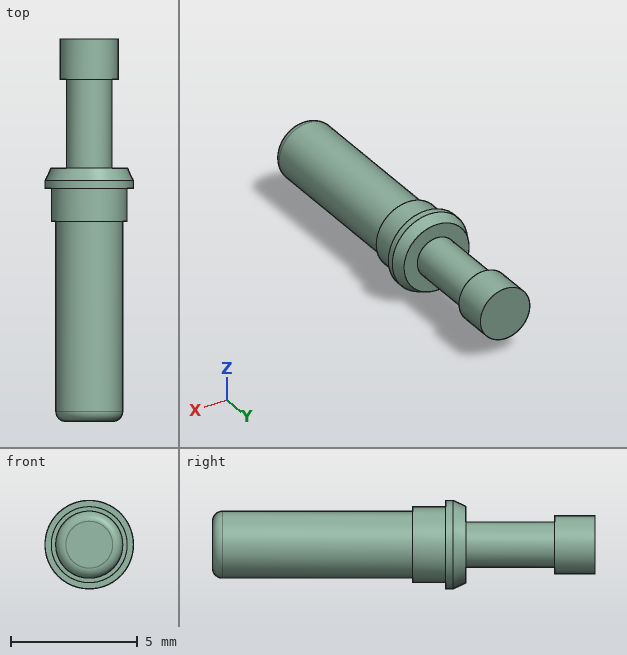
import cadquery as cq

barrel_diameter = 2.65
collar_diameter = 3.0
flange_diameter = 3.5
flange_rear_diameter = 3.03
neck_diameter = 1.8
head_diameter = 2.3

barrel_length = 7.9
collar_length = 1.3
flange_rim_length = 0.3
flange_taper_length = 0.5
neck_length = 3.5
head_length = 1.6

barrel_end_radius = 0.4

flange_end_y = 0.0
rim_end_y = flange_end_y - flange_taper_length
collar_end_y = rim_end_y - flange_rim_length
barrel_end_y = collar_end_y - collar_length
barrel_start_y = barrel_end_y - barrel_length
neck_end_y = flange_end_y + neck_length


def cylinder(diameter, start_y, length):
    """Round section about the Y axis, running from start_y toward +Y."""
    return (
        cq.Workplane("XZ", origin=(0, start_y, 0))
        .circle(diameter / 2)
        .extrude(-length)
    )


def rounded_barrel():
    """Main barrel with its free end rounded over."""
    barrel = cylinder(barrel_diameter, barrel_start_y, barrel_length)
    return barrel.faces("<Y").edges().fillet(barrel_end_radius)


def flange():
    """Stop flange: a short cylindrical rim that tapers toward the neck."""
    rim = cylinder(flange_diameter, collar_end_y, flange_rim_length)
    taper = cq.Workplane(
        cq.Solid.makeCone(
            flange_diameter / 2,
            flange_rear_diameter / 2,
            flange_taper_length,
            pnt=cq.Vector(0, rim_end_y, 0),
            dir=cq.Vector(0, 1, 0),
        )
    )
    return rim.union(taper)


collar = cylinder(collar_diameter, barrel_end_y, collar_length)
neck = cylinder(neck_diameter, flange_end_y, neck_length)
head = cylinder(head_diameter, neck_end_y, head_length)

result = rounded_barrel().union(collar).union(flange()).union(neck).union(head)